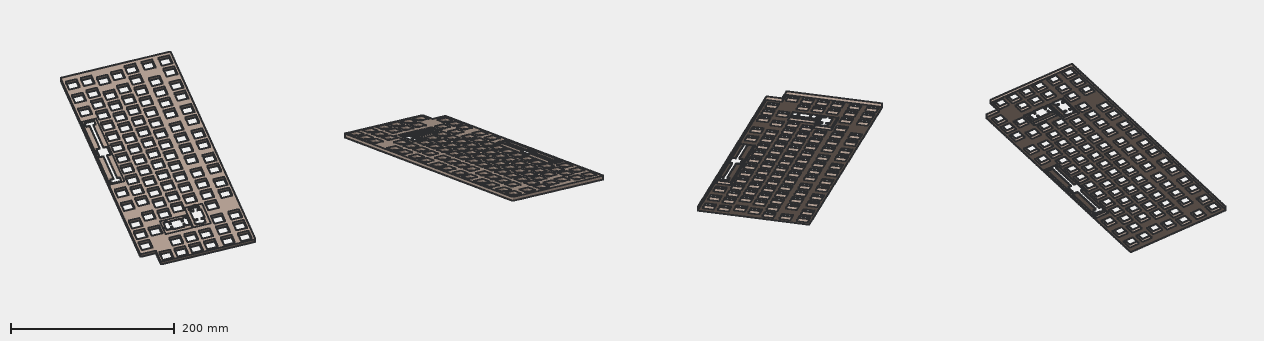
import cadquery as cq
plate_length = 331.5
plate_width = 141.5
plate_thickness = 5.0
corner_radius = 1.3
notch_length = 20.0
notch_width = 20.0

quarters_per_key = 4
key_span = 309.5
quarters_in_span = 65
quarter = key_span / quarters_in_span
key_pitch = quarter * quarters_per_key
wide_row_step = 22.0
left_margin = 12.5
top_margin = 10.5
switch_size = 14.0
switch_corner_radius = 0.4

stabilizer_reach = 12.0
space_bar_reach = 50.0
housing_width = 6.5
housing_top = 5.5
housing_bottom = 6.5
foot_width = 3.0
foot_depth = 1.0
nib_length = 0.85
nib_height = 2.5
nib_top = 2.3
wire_slot_height = 4.5

thinned_thickness = 1.0
recess_end_margin = 2.3
two_unit_recess_width = 22.5
space_bar_recess_width = 18.5

two_keys = (1, 4, 2)
four_keys = (1, 4, 4)
key_rows = [
    [(0, 4, 2), two_keys, two_keys, two_keys, two_keys, two_keys, (4, 4, 3)],
    [(0, 4, 1), (2, 4, 4), four_keys, four_keys, (1, 4, 3)],
    [(0, 4, 13), (0, 8, 1), two_keys],
    [(0, 6, 1), (0, 4, 12), (7, 4, 2)],
    [(0, 7, 1), (0, 4, 12), (6, 4, 2)],
    [(0, 5, 1), (0, 4, 11), (0, 7, 1), (0, 4, 1), (5, 4, 1)],
    [(0, 5, 3), (0, 25, 1), (0, 5, 2), (2, 4, 3)],
]
wide_row_steps = 2

backspace_row, backspace_place = 2, 54
enter_upper_row, enter_place = 3, 55.5
space_bar_row, space_bar_place = 6, 25.5

first_key_x = left_margin - plate_length / 2
first_row_y = plate_width / 2 - top_margin


def key_x(place):
    """X of a key centre lying a number of quarters from the first key."""
    return first_key_x + place * quarter


def row_y(row):
    """Y of a row centre; the top rows are spaced wider than the rest."""
    wide_steps = min(row, wide_row_steps)
    return first_row_y - wide_steps * wide_row_step - (row - wide_steps) * key_pitch


def switch_centres():
    """Centres of every key in the rows."""
    centres = []
    for row, runs in enumerate(key_rows):
        edge = -quarters_per_key / 2
        for gap, width, count in runs:
            edge += gap
            for _ in range(count):
                centres.append((key_x(edge + width / 2), row_y(row)))
                edge += width
    return centres


def block(x_min, x_max, y_min, y_max, height=plate_thickness):
    """Cutter over a rectangle, rising from the underside and by default through the whole plate."""
    return (
        cq.Workplane("XY")
        .center((x_min + x_max) / 2, (y_min + y_max) / 2)
        .rect(x_max - x_min, y_max - y_min)
        .extrude(height)
    )


def stabilizer(reach, recess_width, long_side):
    """Two housings, their wire slot and the recess below them, about a key at the origin.

    long_side is the X direction (-1 or 1) in which the recess runs past the nib.
    """
    half_housing = housing_width / 2
    half_foot = foot_width / 2
    nib_end = reach + half_housing + nib_length

    cutter = block(-reach, reach, -wire_slot_height / 2, wire_slot_height / 2)
    cutter = cutter.union(block(-nib_end, nib_end, nib_top - nib_height, nib_top))
    for x in (-reach, reach):
        housing = block(x - half_housing, x + half_housing, -housing_bottom, housing_top)
        foot = block(x - half_foot, x + half_foot, -housing_bottom - foot_depth, 0)
        cutter = cutter.union(housing).union(foot)

    ends = sorted((-long_side * nib_end, long_side * (nib_end + recess_end_margin)))
    recess_height = plate_thickness - thinned_thickness
    return cutter.union(block(*ends, -recess_width / 2, recess_width / 2, recess_height))


def make_plate():
    """Flat plate with a notch in its front right corner and rounded outer corners."""
    centring = (True, True, False)
    plate = cq.Workplane("XY").box(plate_length, plate_width, plate_thickness, centered=centring)
    right = plate_length / 2
    front = -plate_width / 2
    notch_x = right - notch_length
    notch_y = front + notch_width
    plate = plate.cut(block(notch_x, right, front, notch_y))
    inner_corner = cq.selectors.BoxSelector(
        (notch_x - corner_radius, notch_y - corner_radius, 0),
        (notch_x + corner_radius, notch_y + corner_radius, plate_thickness),
    )
    return plate.edges(cq.StringSyntaxSelector("|Z") - inner_corner).fillet(corner_radius)


enter_centre = (key_x(enter_place), (row_y(enter_upper_row) + row_y(enter_upper_row + 1)) / 2)

switch_holes = (
    cq.Workplane("XY")
    .pushPoints(switch_centres() + [enter_centre])
    .rect(switch_size, switch_size)
    .extrude(plate_thickness)
    .edges("|Z")
    .fillet(switch_corner_radius)
)

two_unit_stabilizer = stabilizer(stabilizer_reach, two_unit_recess_width, 1)
backspace_cut = two_unit_stabilizer.translate((key_x(backspace_place), row_y(backspace_row), 0))
enter_cut = two_unit_stabilizer.rotate((0, 0, 0), (0, 0, 1), -90).translate((*enter_centre, 0))
space_bar_stabilizer = stabilizer(space_bar_reach, space_bar_recess_width, -1)
space_bar_cut = space_bar_stabilizer.translate((key_x(space_bar_place), row_y(space_bar_row), 0))

result = make_plate().cut(switch_holes).cut(backspace_cut).cut(enter_cut).cut(space_bar_cut)